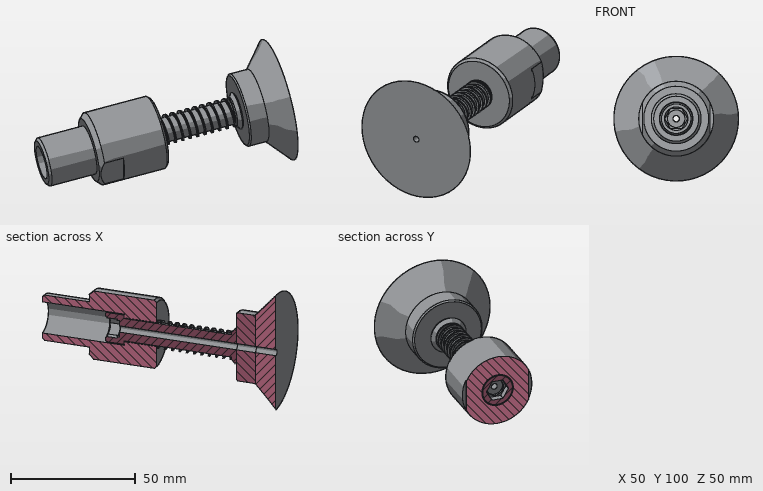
import cadquery as cq
import math


CUP_RIM_DIA = 50.0
CUP_LENGTH = 8.9
HUB_DIA = 30.0
HUB_LENGTH = 8.1
HUB_CHAMFER = 0.6
AIR_DIA = 2.5

ROD_DIA = 10.0
FLANGE_ROOT_DIA = 14.0
FLANGE_DIA = 15.2
FLANGE_CONE_LENGTH = 1.5
HEAD_DIA = 13.0
HEAD_LENGTH = 8.0
HEAD_CHAMFER = 0.6
SOCKET_FLATS = 8.0
SOCKET_DEPTH = 5.0
SOCKET_MOUTH_DIA = 9.4
SOCKET_FLOOR_DIA = 7.0
SOCKET_FLOOR_DEPTH = 1.0

TOTAL_LENGTH = 100.0
BODY_DIA = 30.0
BODY_LENGTH = 29.0
BODY_FRONT_CHAMFER = 1.0
BODY_REAR_CHAMFER = 2.0
SPIGOT_DIA = 20.0
SPIGOT_LENGTH = 20.0
SPIGOT_CHAMFER = 1.0
GUIDE_DIA = 10.2
GUIDE_LENGTH = 14.0
BORE_DIA = 13.4
WRENCH_WIDTH = 27.0
WRENCH_LENGTH = 10.0

SPRING_INNER_DIA = GUIDE_DIA
SPRING_OUTER_DIA = 12.0
WIRE_HEIGHT = 0.6
SPRING_TURNS = 10

HUB_TOP = -CUP_LENGTH
HUB_BOTTOM = HUB_TOP - HUB_LENGTH
FLANGE_EDGE = HUB_BOTTOM - (FLANGE_DIA - FLANGE_ROOT_DIA) / 2
SPRING_TOP = FLANGE_EDGE - FLANGE_CONE_LENGTH
TIP = -TOTAL_LENGTH
BODY_BOTTOM = TIP + SPIGOT_LENGTH
BODY_TOP = BODY_BOTTOM + BODY_LENGTH
SHOULDER = BODY_TOP - GUIDE_LENGTH
HEAD_END = SHOULDER - HEAD_LENGTH


def turned(points):
    """Revolve a closed (radius, y) outline about the Y axis."""
    return cq.Workplane("XY").polyline(points).close().revolve(360, (0, 0, 0), (0, 1, 0))


def cylinder(diameter, start, end):
    """Cylinder on the Y axis between two positions."""
    radius = diameter / 2
    return turned([(0, start), (radius, start), (radius, end), (0, end)])


def make_cup():
    cone = turned([(0, 0), (CUP_RIM_DIA / 2, 0), (HUB_DIA / 2, HUB_TOP), (0, HUB_TOP)])
    return cone.cut(cylinder(AIR_DIA, 0, HUB_TOP))


def make_hub():
    hub = cylinder(HUB_DIA, HUB_TOP, HUB_BOTTOM).faces("<Y").chamfer(HUB_CHAMFER)
    return hub.cut(cylinder(AIR_DIA, HUB_TOP, HUB_BOTTOM))


def make_socket():
    """Hexagonal socket with a conical mouth and a round recess in its floor."""
    corner_dia = SOCKET_FLATS / math.cos(math.pi / 6)
    socket_floor = HEAD_END + SOCKET_DEPTH
    hexagon = (
        cq.Workplane("XZ", origin=(0, HEAD_END, 0))
        .polygon(6, corner_dia)
        .extrude(-SOCKET_DEPTH)
    )
    mouth_radius = SOCKET_MOUTH_DIA / 2
    mouth = turned([(0, HEAD_END), (mouth_radius, HEAD_END), (0, HEAD_END + mouth_radius)])
    recess = cylinder(SOCKET_FLOOR_DIA, socket_floor, socket_floor + SOCKET_FLOOR_DEPTH)
    return hexagon.union(mouth).union(recess)


def make_rod():
    rod_radius = ROD_DIA / 2
    head_radius = HEAD_DIA / 2
    rod = turned([
        (0, HUB_BOTTOM),
        (FLANGE_ROOT_DIA / 2, HUB_BOTTOM),
        (FLANGE_DIA / 2, FLANGE_EDGE),
        (SPRING_OUTER_DIA / 2, SPRING_TOP),
        (rod_radius, SPRING_TOP),
        (rod_radius, SHOULDER),
        (head_radius, SHOULDER),
        (head_radius, HEAD_END + HEAD_CHAMFER),
        (head_radius - HEAD_CHAMFER, HEAD_END),
        (0, HEAD_END),
    ])
    return rod.cut(make_socket()).cut(cylinder(AIR_DIA, HUB_BOTTOM, HEAD_END))


def make_housing():
    body = cylinder(BODY_DIA, BODY_TOP, BODY_BOTTOM)
    body = body.faces(">Y").chamfer(BODY_FRONT_CHAMFER)
    body = body.faces("<Y").chamfer(BODY_REAR_CHAMFER)
    for side in (-1, 1):
        cutter = cq.Workplane("XY").box(BODY_DIA, WRENCH_LENGTH, BODY_DIA).translate(
            (side * (WRENCH_WIDTH + BODY_DIA) / 2, BODY_BOTTOM + WRENCH_LENGTH / 2, 0)
        )
        body = body.cut(cutter)
    spigot = cylinder(SPIGOT_DIA, BODY_BOTTOM, TIP).faces("<Y").chamfer(SPIGOT_CHAMFER)
    housing = body.union(spigot)
    housing = housing.cut(cylinder(GUIDE_DIA, BODY_TOP, SHOULDER))
    return housing.cut(cylinder(BORE_DIA, SHOULDER, TIP))


def make_spring():
    """Rectangular-section coil with a flat closing ring at each end."""
    coil_length = SPRING_TOP - BODY_TOP
    pitch = (coil_length - WIRE_HEIGHT) / SPRING_TURNS
    wire_width = (SPRING_OUTER_DIA - SPRING_INNER_DIA) / 2
    mean_radius = SPRING_INNER_DIA / 2 + wire_width / 2
    path = cq.Wire.makeHelix(pitch, pitch * SPRING_TURNS, mean_radius)
    coil = (
        cq.Workplane("XZ", origin=(mean_radius, 0, 0))
        .rect(wire_width, WIRE_HEIGHT)
        .sweep(cq.Workplane(obj=path), isFrenet=True)
        .rotate((0, 0, 0), (1, 0, 0), 90)
        .rotate((0, 0, 0), (0, 1, 0), 90)
        .translate((0, SPRING_TOP - WIRE_HEIGHT / 2, 0))
    )
    for ring_top in (SPRING_TOP, BODY_TOP + WIRE_HEIGHT):
        ring_bottom = ring_top - WIRE_HEIGHT
        ring = cylinder(SPRING_OUTER_DIA, ring_top, ring_bottom)
        coil = coil.union(ring.cut(cylinder(SPRING_INNER_DIA, ring_top, ring_bottom)))
    return coil


cup = make_cup()
hub = make_hub()
rod = make_rod()
housing = make_housing()
spring = make_spring()

result = cq.Compound.makeCompound([
    cup.val(),
    hub.val(),
    rod.val(),
    housing.val(),
    spring.val(),
])